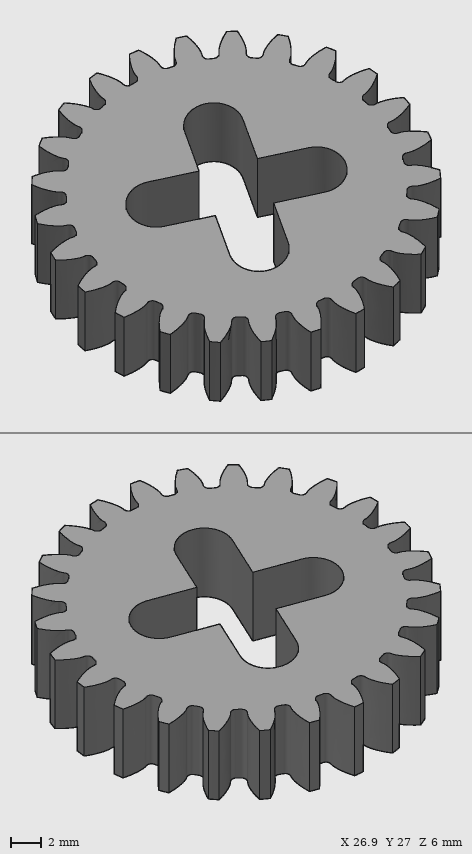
import cadquery as cq
import math

overall_size = 26.98
thickness = 6.0

tooth_count = 25
pressure_angle = math.radians(20)
addendum_ratio = 1.0
dedendum_ratio = 1.25
root_fillet_ratio = 0.38
first_tooth_angle = math.pi
flank_points = 8

slot_length = 15.0
slot_width = 4.0


def involute_angle(angle):
    """Polar angle swept by an involute where its pressure angle is the given one."""
    return math.tan(angle) - angle


pitch_modules = tooth_count / 2
tip_modules = pitch_modules + addendum_ratio
base_modules = pitch_modules * math.cos(pressure_angle)

tooth_pitch = 2 * math.pi / tooth_count
base_half_angle = tooth_pitch / 4 + involute_angle(pressure_angle)
tip_half_angle = base_half_angle - involute_angle(math.acos(base_modules / tip_modules))

tip_radius = overall_size / 2 / math.cos(tooth_pitch / 4 - tip_half_angle)
module = tip_radius / tip_modules
base_radius = base_modules * module
root_radius = (pitch_modules - dedendum_ratio) * module
root_fillet = root_fillet_ratio * module


def polar(radius, angle):
    return (radius * math.cos(angle), radius * math.sin(angle))


def flank(center_angle, side):
    """Involute points from the base circle to the tip; side is -1 or +1."""
    points = []
    for i in range(flank_points):
        radius = base_radius + (tip_radius - base_radius) * i / (flank_points - 1)
        half_angle = base_half_angle - involute_angle(math.acos(base_radius / radius))
        points.append(polar(radius, center_angle + side * half_angle))
    return points


def add_tooth(outline, center_angle):
    """Draw one tooth and the root arc after it; flanks are radial below the base circle."""
    rising = flank(center_angle, -1)
    falling = flank(center_angle, 1)[::-1]
    gap_start = center_angle + base_half_angle
    gap_middle = center_angle + tooth_pitch / 2
    gap_end = center_angle + tooth_pitch - base_half_angle
    return (
        outline.lineTo(*rising[0])
        .spline(rising[1:], includeCurrent=True)
        .threePointArc(polar(tip_radius, center_angle), falling[0])
        .spline(falling[1:], includeCurrent=True)
        .lineTo(*polar(root_radius, gap_start))
        .threePointArc(polar(root_radius, gap_middle), polar(root_radius, gap_end))
    )


def is_root_edge(edge):
    """True for the upright edges where the flanks meet the root circle."""
    center = edge.Center()
    return math.hypot(center.x, center.y) < (root_radius + base_radius) / 2


def make_gear():
    """Solid toothed disc with filleted tooth roots."""
    outline = cq.Workplane("XY").moveTo(*polar(root_radius, first_tooth_angle - base_half_angle))
    for i in range(tooth_count):
        outline = add_tooth(outline, first_tooth_angle + i * tooth_pitch)
    gear = outline.close().extrude(thickness)
    return gear.edges("|Z").filter(is_root_edge).fillet(root_fillet)


def make_slot(angle):
    """Through-cutter for one arm pair of the cross, turned by an angle in degrees."""
    return cq.Workplane("XY").slot2D(slot_length, slot_width, angle).extrude(thickness)


result = make_gear()
for slot_angle in (0, 90):
    result = result.cut(make_slot(slot_angle))